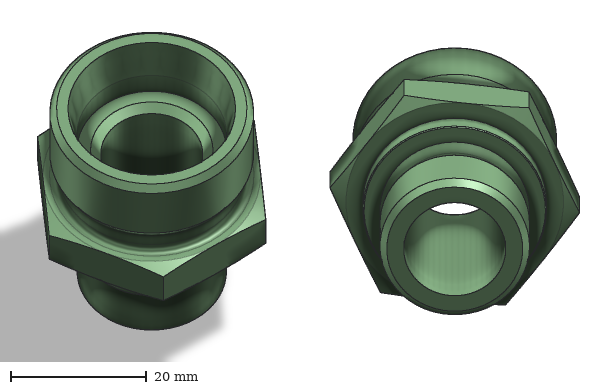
import cadquery as cq
import math

total_height = 40.0
collar_bottom = 14.0
hex_bottom = 17.0
hex_top = 24.0
small_shoulder = 9.3
large_shoulder = 29.5

small_radius = 22.0 / 2
large_radius = 30.0 / 2
neck_radius = 27.7 / 2
collar_radius = 27.0 / 2
bore_radius = 15.0 / 2
socket_radius = 22.0 / 2
bore_mouth_radius = 9.0
socket_mouth_radius = 12.3

across_flats = 32.0
hex_chamfer_angle = 15.0

end_chamfer = 1.0
collar_chamfer = 0.15
neck_fillet = 1.2
neck_blend = 1.0
groove_blend = 1.3
undercut_angle = math.radians(30)
socket_half_angle = math.radians(12)
bore_mouth_half_angle = math.radians(60)
socket_depth = 10.0


def hexagon():
    """Hexagon with corners on the Y axis, conically chamfered at both ends."""
    height = hex_top - hex_bottom
    flat_radius = across_flats / 2
    corner_radius = flat_radius / math.cos(math.radians(30))
    corner_drop = (corner_radius - flat_radius) * math.tan(math.radians(hex_chamfer_angle))
    prism = (
        cq.Workplane("XY", origin=(0, 0, hex_bottom))
        .polygon(6, 2 * corner_radius)
        .extrude(height)
        .rotate((0, 0, 0), (0, 0, 1), 30)
    )
    envelope = (
        cq.Workplane("XZ")
        .moveTo(0, hex_bottom)
        .lineTo(flat_radius, hex_bottom)
        .lineTo(corner_radius, hex_bottom + corner_drop)
        .lineTo(corner_radius, hex_top - corner_drop)
        .lineTo(flat_radius, hex_top)
        .lineTo(0, hex_top)
        .close()
        .revolve(360, (0, 0, 0), (0, 1, 0))
    )
    return prism.intersect(envelope)


def turned_body():
    """Outer turned profile: small end, V groove, collar, neck and large end."""
    slope = math.tan(undercut_angle)

    groove_middle = (small_shoulder + collar_bottom) / 2
    groove_vertex = small_radius - (collar_bottom - small_shoulder) / 2 * slope
    groove_centre = groove_vertex + groove_blend / math.cos(undercut_angle)
    groove_rise = groove_blend * math.sin(undercut_angle)
    groove_edge = groove_centre - groove_blend * math.cos(undercut_angle)

    cone_foot = large_shoulder - (large_radius - neck_radius) / slope
    blend_start = cone_foot - neck_blend * math.tan(undercut_angle / 2)

    def neck_blend_point(angle):
        return (
            neck_radius + neck_blend * (1 - math.cos(angle)),
            blend_start + neck_blend * math.sin(angle),
        )

    fillet_middle = neck_fillet * (1 - math.cos(math.radians(45)))

    profile = (
        cq.Workplane("XZ")
        .lineTo(small_radius - end_chamfer, 0)
        .lineTo(small_radius, end_chamfer)
        .lineTo(small_radius, small_shoulder)
        .lineTo(groove_edge, groove_middle - groove_rise)
        .threePointArc(
            (groove_centre - groove_blend, groove_middle),
            (groove_edge, groove_middle + groove_rise),
        )
        .lineTo(small_radius, collar_bottom)
        .lineTo(collar_radius - collar_chamfer, collar_bottom)
        .lineTo(collar_radius, collar_bottom + collar_chamfer)
        .lineTo(collar_radius, hex_top)
        .lineTo(neck_radius + neck_fillet, hex_top)
        .threePointArc(
            (neck_radius + fillet_middle, hex_top + fillet_middle),
            (neck_radius, hex_top + neck_fillet),
        )
        .lineTo(neck_radius, blend_start)
        .threePointArc(neck_blend_point(undercut_angle / 2), neck_blend_point(undercut_angle))
        .lineTo(large_radius, large_shoulder)
        .lineTo(large_radius, total_height - end_chamfer)
        .lineTo(large_radius - end_chamfer, total_height)
        .lineTo(0, total_height)
        .close()
    )
    return profile.revolve(360, (0, 0, 0), (0, 1, 0))


def stepped_bore():
    """Through bore opening through a countersink into a tapered socket."""
    floor = total_height - socket_depth
    countersink_depth = (bore_mouth_radius - bore_radius) / math.tan(bore_mouth_half_angle)
    taper_depth = (socket_mouth_radius - socket_radius) / math.tan(socket_half_angle)
    return (
        cq.Workplane("XZ")
        .lineTo(bore_radius, 0)
        .lineTo(bore_radius, floor - countersink_depth)
        .lineTo(bore_mouth_radius, floor)
        .lineTo(socket_radius, floor)
        .lineTo(socket_radius, total_height - taper_depth)
        .lineTo(socket_mouth_radius, total_height)
        .lineTo(0, total_height)
        .close()
        .revolve(360, (0, 0, 0), (0, 1, 0))
    )


result = turned_body().union(hexagon()).cut(stepped_bore())